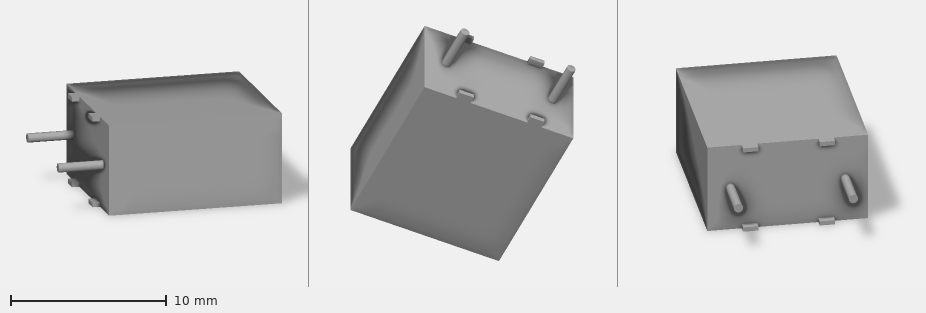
import cadquery as cq

body_width = 10.5
body_depth = 11.5
body_height = 6.0

lead_diameter = 0.6
lead_length = 3.0
lead_pitch = 7.5

foot_width = 1.0
foot_length = 0.5
foot_height = 0.3
foot_pitch = 5.0


def make_body():
    return cq.Workplane("XY").box(body_width, body_depth, body_height).translate((0, body_depth / 2, 0))


def make_leads():
    """Round pins pointing along -Y from the front face."""
    return (
        cq.Workplane("XZ")
        .rarray(lead_pitch, 1, 2, 1)
        .circle(lead_diameter / 2)
        .extrude(lead_length)
    )


def make_feet():
    """Small pads pointing along -Y, flush with the top and bottom of the body."""
    foot_spacing_z = body_height - foot_height
    return (
        cq.Workplane("XZ")
        .rarray(foot_pitch, foot_spacing_z, 2, 2)
        .rect(foot_width, foot_height)
        .extrude(foot_length)
    )


result = make_body().union(make_leads()).union(make_feet())